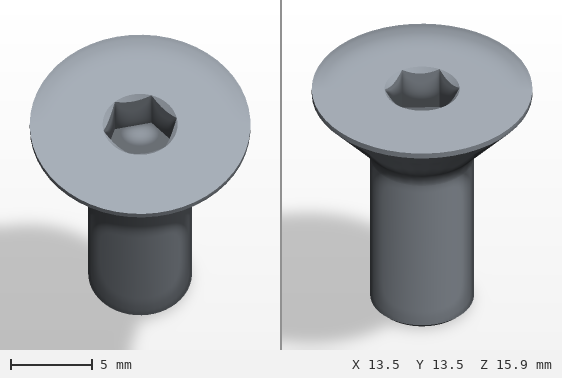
import cadquery as cq
import math

length = 15.88
head_diameter = 13.5
shank_diameter = 6.35

rim_height = 0.37
cone_angle = 82.0
neck_radius = 1.51

tip_chamfer = 0.3

socket_width = 3.97
socket_depth = 2.86
lead_in_angle = 45.0

head_radius = head_diameter / 2
shank_radius = shank_diameter / 2
half_angle = math.radians(cone_angle / 2)
cone_base_z = length - rim_height
cone_height = (head_radius - shank_radius) / math.tan(half_angle)
neck_z = cone_base_z - cone_height


def make_body():
    """Revolve the screw profile about Z, with a concave arc blending cone and shank."""
    tangent_length = neck_radius * math.tan(half_angle / 2)
    arc_center_x = shank_radius + neck_radius
    arc_start_z = neck_z - tangent_length
    arc_middle = (
        arc_center_x - neck_radius * math.cos(half_angle / 2),
        arc_start_z + neck_radius * math.sin(half_angle / 2),
    )
    arc_end = (
        arc_center_x - neck_radius * math.cos(half_angle),
        arc_start_z + neck_radius * math.sin(half_angle),
    )
    return (
        cq.Workplane("XZ")
        .moveTo(0, 0)
        .lineTo(shank_radius - tip_chamfer, 0)
        .lineTo(shank_radius, tip_chamfer)
        .lineTo(shank_radius, arc_start_z)
        .threePointArc(arc_middle, arc_end)
        .lineTo(head_radius, cone_base_z)
        .lineTo(head_radius, length)
        .lineTo(0, length)
        .close()
        .revolve(360, (0, 0), (0, 1))
    )


def make_socket():
    """Hexagonal hole with corners along Y, and a conical mouth reaching its corners."""
    corner_radius = socket_width / 2 / math.cos(math.radians(30))
    hexagon = (
        cq.Workplane("XY")
        .workplane(offset=length)
        .transformed(rotate=(0, 0, 90))
        .polygon(6, 2 * corner_radius)
        .extrude(-socket_depth)
    )
    mouth_depth = corner_radius * math.tan(math.radians(lead_in_angle))
    mouth = (
        cq.Workplane("XZ")
        .moveTo(0, length)
        .lineTo(corner_radius, length)
        .lineTo(0, length - mouth_depth)
        .close()
        .revolve(360, (0, 0), (0, 1))
    )
    return hexagon.union(mouth)


result = make_body().cut(make_socket())